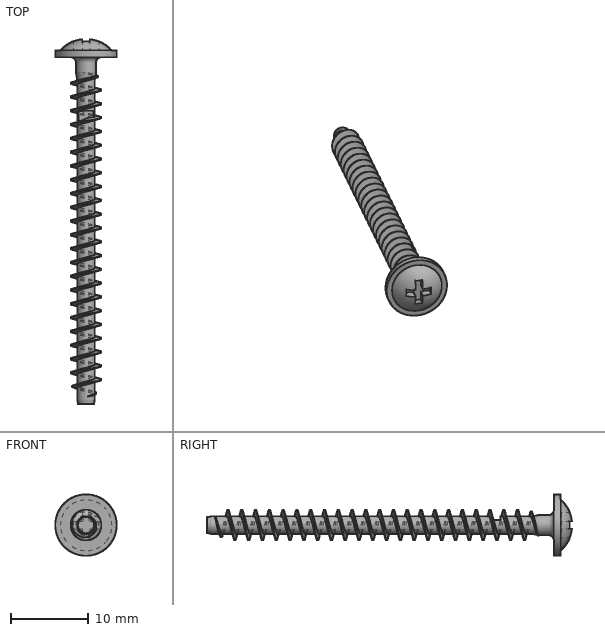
import cadquery as cq
import math


flange_radius = 8.0 / 2
flange_thickness = 0.9
dome_base_radius = 3.3
crown_height = 2.4
recess_span = 3.3
recess_width = 0.95
recess_depth = 1.4

neck_radius = 1.35
neck_fillet = 0.65
neck_length = 1.95
neck_taper_length = 0.95
core_radius = 2.3 / 2
tip_radius = 1.05
tip_taper_length = 0.55
tip_y = -45.05

thread_radius = 2.0
crest_width = 0.07
root_width = 0.65
root_radius = 0.6
full_turns = 22
full_turns_length = 39.4
pitch = full_turns_length / full_turns
first_crest_y = -2.45
fade_in_turns = (-0.4, 0.5)
fade_in_radius = 1.25
fade_out_turns = (22.3, 23.4)
fade_out_radius = 1.0
points_per_turn = 16

flat_turn = 2.5
flat_floor_z = 0.65


def revolve_about_y(profile):
    return profile.close().revolve(360, (0, 0, 0), (0, 1, 0))


def make_body():
    """Head, neck and plain core as one turned shape."""
    dome_height = crown_height - flange_thickness
    dome_sphere_radius = (dome_base_radius**2 + dome_height**2) / (2 * dome_height)
    mid_radius = dome_base_radius / 2
    mid_y = crown_height - dome_sphere_radius + math.sqrt(dome_sphere_radius**2 - mid_radius**2)
    profile = (
        cq.Workplane("XY")
        .moveTo(0, crown_height)
        .threePointArc((mid_radius, mid_y), (dome_base_radius, flange_thickness))
        .lineTo(flange_radius, flange_thickness)
        .lineTo(flange_radius, 0)
        .lineTo(neck_radius + neck_fillet, 0)
        .radiusArc((neck_radius, -neck_fillet), -neck_fillet)
        .lineTo(neck_radius, -neck_length)
        .lineTo(core_radius, -neck_length - neck_taper_length)
        .lineTo(core_radius, tip_y + tip_taper_length)
        .lineTo(tip_radius, tip_y)
        .lineTo(0, tip_y)
    )
    return revolve_about_y(profile)


def make_recess():
    """Cross recess in the top of the dome."""
    floor_y = crown_height - recess_depth
    along_x = cq.Workplane("XY").box(recess_span, recess_depth, recess_width)
    along_z = cq.Workplane("XY").box(recess_width, recess_depth, recess_span)
    return along_x.union(along_z).translate((0, floor_y + recess_depth / 2, 0))


def make_flat_cutter():
    """Prism above the flat, its lower edge slanted along the next thread turn."""
    top_y = first_crest_y - pitch * flat_turn
    right_y = top_y - pitch / 2
    left_y = top_y - pitch
    outline = [
        (-core_radius, top_y),
        (core_radius, top_y),
        (core_radius, right_y),
        (-core_radius, left_y),
    ]
    return cq.Workplane("XY", origin=(0, 0, flat_floor_z)).polyline(outline).close().extrude(core_radius)


def helix_edge(turns, radii, axial_offset):
    """Right-hand helix whose radius changes evenly from the first to the last turn."""

    def point(fraction):
        turn = turns[0] + fraction * (turns[1] - turns[0])
        radius = radii[0] + fraction * (radii[1] - radii[0])
        angle = 2 * math.pi * turn
        y = first_crest_y - pitch * turn + axial_offset
        return radius * math.cos(angle), y, radius * math.sin(angle)

    samples = math.ceil(points_per_turn * (turns[1] - turns[0]))
    points = [cq.Vector(*point(i / samples)) for i in range(samples + 1)]
    return cq.Edge.makeSpline(points)


def make_thread_section(turns, crest_radii):
    """Thread ridge over a range of turns, closed by a flat face at each end."""
    root_radii = (root_radius, root_radius)
    edges = [
        helix_edge(turns, root_radii, -root_width / 2),
        helix_edge(turns, crest_radii, -crest_width / 2),
        helix_edge(turns, crest_radii, crest_width / 2),
        helix_edge(turns, root_radii, root_width / 2),
    ]
    sides = [cq.Face.makeRuledSurface(edges[i - 1], edges[i]) for i in range(len(edges))]
    ends = [cq.Wire.makePolygon([edge.positionAt(end) for edge in edges], close=True) for end in (0, 1)]
    caps = [cq.Face.makeFromWires(outline) for outline in ends]
    return cq.Workplane(cq.Solid.makeSolid(cq.Shell.makeShell(sides + caps)))


def make_thread():
    """Thread of full height between a fade-in at the neck and a fade-out at the tip."""
    fade_in = make_thread_section(fade_in_turns, (fade_in_radius, thread_radius))
    full = make_thread_section((fade_in_turns[1], fade_out_turns[0]), (thread_radius, thread_radius))
    fade_out = make_thread_section(fade_out_turns, (thread_radius, fade_out_radius))
    return fade_in, full, fade_out


screw = make_body().cut(make_recess()).cut(make_flat_cutter())
for section in make_thread():
    screw = screw.union(section)
result = cq.Workplane(screw.solids().val())